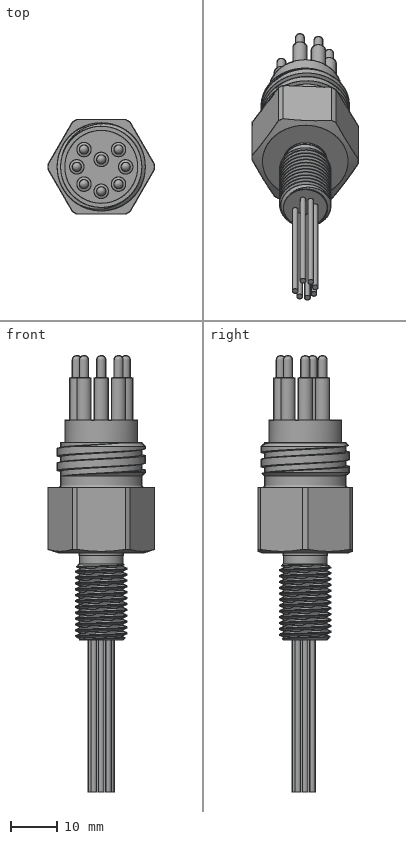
import cadquery as cq
import math

TOTAL_HEIGHT = 94.8
SHANK_BOTTOM_Z = 33.0
HEX_BOTTOM_Z = 52.0
HEX_TOP_Z = 66.2
COLLAR_TOP_Z = 75.9
NOSE_TOP_Z = 80.8
SLEEVE_TOP_Z = 90.1

HEX_ACROSS_FLATS = 20.6
HEX_CORNER_DIAMETER = 23.1
HEX_FACE_DIAMETER = 18.6
HEX_CHAMFER_HEIGHT = 0.8
HEX_SIDES = 6
HALF_SIDE_ANGLE = 180 / HEX_SIDES

NOSE_DIAMETER = 15.8
COLLAR_DIAMETER = 17.6
COLLAR_FILLET = 0.5
COLLAR_THREAD_DIAMETER = 19.15
COLLAR_THREAD_PITCH = 3.1
COLLAR_THREAD_BOTTOM_Z = 68.55
COLLAR_THREAD_ROOT = 2.1
COLLAR_THREAD_CREST = 1.6
COLLAR_THREAD_START_Z = 66.0

SHANK_DIAMETER = 9.5
SHANK_SHOULDER_DIAMETER = 9.6
SHANK_SHOULDER_HEIGHT = 0.6
SHANK_THREAD_DIAMETER = 11.2
SHANK_THREAD_TOP_Z = 49.7
SHANK_THREAD_TURNS = 13.1
SHANK_THREAD_PITCH = (SHANK_THREAD_TOP_Z - SHANK_BOTTOM_Z) / SHANK_THREAD_TURNS
SHANK_THREAD_ROOT = 1.2
SHANK_THREAD_CREST = 0.2
SHANK_THREAD_START_Z = 31.95

PIN_DIAMETER = 2.0
PIN_TIP_FILLET = 0.95
SLEEVE_DIAMETER = 3.1
SLEEVE_CONE_HEIGHT = 0.2
PIN_CIRCLE_RADIUS = 5.3
KEY_PIN_Y = 1.6

WIRE_DIAMETER = 1.2
WIRE_BUNDLE_DIAMETER = 5.7
WIRE_CIRCLE_RADIUS = (WIRE_BUNDLE_DIAMETER - WIRE_DIAMETER) / 2

STATION_STEP = 45
EMPTY_STATION = 90
STATION_ANGLES = [angle for angle in range(0, 360, STATION_STEP) if angle != EMPTY_STATION]

THREAD_SINK = 0.3
BEVEL_SINK = 0.1


def ring_points(radius):
    """Centres of the occupied stations on a ring of the given radius."""
    return [
        (radius * math.cos(math.radians(angle)), radius * math.sin(math.radians(angle)))
        for angle in STATION_ANGLES
    ]


PIN_POINTS = [*ring_points(PIN_CIRCLE_RADIUS), (0, KEY_PIN_Y)]
WIRE_POINTS = ring_points(WIRE_CIRCLE_RADIUS)


def cylinders(diameter, bottom_z, top_z, points):
    """Upright cylinders of one size, centred on the given points."""
    plane = cq.Workplane("XY").workplane(offset=bottom_z)
    return plane.pushPoints(points).circle(diameter / 2).extrude(top_z - bottom_z)


def cylinder(diameter, bottom_z, top_z):
    """One upright cylinder on the main axis."""
    return cylinders(diameter, bottom_z, top_z, [(0, 0)])


def make_thread(core_diameter, crest_diameter, pitch, root_width, crest_width, start_z, bottom_z, top_z):
    """Right-handed ridge around a core, with 45 degree lead-ins at bottom_z and top_z.

    The middle of the ridge crosses the +X side at start_z, which lies below bottom_z.
    """
    core_radius = core_diameter / 2
    crest_radius = crest_diameter / 2
    sunk_radius = core_radius - THREAD_SINK
    turns = math.ceil((top_z - start_z) / pitch) + 1
    helix = cq.Wire.makeHelix(pitch, turns * pitch, core_radius).translate(cq.Vector(0, 0, start_z))
    ridge = (
        cq.Workplane("XZ")
        .polyline([
            (sunk_radius, start_z - root_width / 2),
            (crest_radius, start_z - crest_width / 2),
            (crest_radius, start_z + crest_width / 2),
            (sunk_radius, start_z + root_width / 2),
        ])
        .close()
        .sweep(cq.Workplane(helix), isFrenet=True)
    )
    envelope_radius = crest_radius + THREAD_SINK
    bevel = envelope_radius - core_radius + BEVEL_SINK
    envelope = cylinder(2 * envelope_radius, bottom_z, top_z).edges("%CIRCLE").chamfer(bevel)
    return ridge.intersect(envelope)


def make_grip():
    """Hexagon with its corners turned down to a circle and its lower rim chamfered."""
    prism = (
        cq.Workplane("XY")
        .workplane(offset=HEX_BOTTOM_Z)
        .polygon(HEX_SIDES, HEX_ACROSS_FLATS, circumscribed=True)
        .extrude(HEX_TOP_Z - HEX_BOTTOM_Z)
        .rotate((0, 0, 0), (0, 0, 1), HALF_SIDE_ANGLE)
    )
    turned = (
        cq.Workplane("XZ")
        .polyline([
            (0, HEX_BOTTOM_Z),
            (HEX_FACE_DIAMETER / 2, HEX_BOTTOM_Z),
            (HEX_CORNER_DIAMETER / 2, HEX_BOTTOM_Z + HEX_CHAMFER_HEIGHT),
            (HEX_CORNER_DIAMETER / 2, HEX_TOP_Z),
            (0, HEX_TOP_Z),
        ])
        .close()
        .revolve(360, (0, 0, 0), (0, 1, 0))
    )
    return prism.intersect(turned)


def make_collar():
    """Threaded collar with a flared foot, and the plain nose above it."""
    collar_radius = COLLAR_DIAMETER / 2
    foot_radius = collar_radius + COLLAR_FILLET
    fillet_top_z = HEX_TOP_Z + COLLAR_FILLET
    fillet_middle = COLLAR_FILLET * (1 - math.sqrt(0.5))
    core = (
        cq.Workplane("XZ")
        .moveTo(0, HEX_TOP_Z)
        .lineTo(foot_radius, HEX_TOP_Z)
        .threePointArc(
            (collar_radius + fillet_middle, HEX_TOP_Z + fillet_middle),
            (collar_radius, fillet_top_z),
        )
        .lineTo(collar_radius, COLLAR_TOP_Z)
        .lineTo(NOSE_DIAMETER / 2, COLLAR_TOP_Z)
        .lineTo(NOSE_DIAMETER / 2, NOSE_TOP_Z)
        .lineTo(0, NOSE_TOP_Z)
        .close()
        .revolve(360, (0, 0, 0), (0, 1, 0))
    )
    ridge = make_thread(
        COLLAR_DIAMETER, COLLAR_THREAD_DIAMETER, COLLAR_THREAD_PITCH, COLLAR_THREAD_ROOT,
        COLLAR_THREAD_CREST, COLLAR_THREAD_START_Z, COLLAR_THREAD_BOTTOM_Z, COLLAR_TOP_Z,
    )
    return core.union(ridge)


def make_shank():
    """Threaded shank with a slightly wider shoulder under the grip."""
    core = cylinder(SHANK_DIAMETER, SHANK_BOTTOM_Z, HEX_BOTTOM_Z)
    shoulder = cylinder(SHANK_SHOULDER_DIAMETER, HEX_BOTTOM_Z - SHANK_SHOULDER_HEIGHT, HEX_BOTTOM_Z)
    ridge = make_thread(
        SHANK_DIAMETER, SHANK_THREAD_DIAMETER, SHANK_THREAD_PITCH, SHANK_THREAD_ROOT,
        SHANK_THREAD_CREST, SHANK_THREAD_START_Z, SHANK_BOTTOM_Z, SHANK_THREAD_TOP_Z,
    )
    return core.union(shoulder).union(ridge)


def make_sleeves():
    """Pin sleeves, each tapering at its top to the diameter of its pin."""
    taper_width = (SLEEVE_DIAMETER - PIN_DIAMETER) / 2
    sleeves = cylinders(SLEEVE_DIAMETER, NOSE_TOP_Z, SLEEVE_TOP_Z, PIN_POINTS)
    return sleeves.faces(">Z").edges().chamfer(SLEEVE_CONE_HEIGHT, taper_width)


def make_housing():
    """Grip, collar and shank, with the pin sleeves above and the wires below."""
    sleeves = make_sleeves()
    wires = cylinders(WIRE_DIAMETER, 0, SHANK_BOTTOM_Z, WIRE_POINTS)
    return make_grip().union(make_collar()).union(make_shank()).union(sleeves).union(wires)


def make_pin(x, y):
    """Contact pin with a rounded tip, standing on its sleeve."""
    pin = cylinders(PIN_DIAMETER, SLEEVE_TOP_Z, TOTAL_HEIGHT, [(x, y)])
    return pin.faces(">Z").edges().fillet(PIN_TIP_FILLET)


housing = make_housing()
pins = [make_pin(x, y) for x, y in PIN_POINTS]

result = cq.Compound.makeCompound([housing.val(), *[pin.val() for pin in pins]])